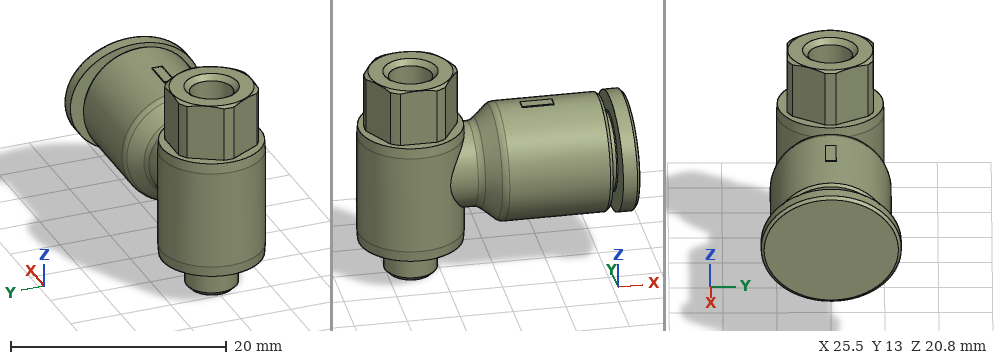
import cadquery as cq
import math


overall_length = 25.45

body_diameter = 10.0
body_top = 4.65
body_bottom = -7.1
body_end_length = 1.02
body_end_taper = 0.08

hex_top = 10.2
hex_across_flats = 8.0
hex_corner_diameter = 8.7
hex_crown_diameter = 7.9
hex_crown_height = 0.18

socket_diameter = 4.12
socket_mouth_diameter = 5.15
socket_depth = hex_top - body_top
bore_diameter = 2.0

stud_bottom = -10.59
stud_diameter = 5.0
stud_chamfer = 0.48
undercut_diameter = 4.5
undercut_length = 0.48

arm_neck_diameter = 8.0
arm_diameter = 11.22
cone_start = 5.98
cone_end = 7.91
cone_blend_radius = 1.0
arm_end = 18.1
arm_end_chamfer_length = 0.3
arm_end_chamfer_drop = 0.23

sleeve_diameter = 7.45
sleeve_flare = 0.1
collar_start = 18.83
collar_end = overall_length - body_diameter / 2
collar_width = 13.0
collar_height = 11.02
collar_chamfer = 0.28

mark_start = 10.45
mark_length = 3.0
mark_width = 1.0
mark_top = 5.7


def revolve_about_z(points):
    """Turn a closed (radius, z) outline about the vertical axis."""
    return cq.Workplane("XZ").polyline(points).close().revolve(360, (0, 0, 0), (0, 1, 0))


def make_body():
    radius = body_diameter / 2
    end_radius = radius - body_end_taper
    return revolve_about_z([
        (0, body_bottom),
        (end_radius, body_bottom),
        (radius, body_bottom + body_end_length),
        (radius, body_top - body_end_length),
        (end_radius, body_top),
        (0, body_top),
    ])


def make_hex_head():
    corner_radius = hex_corner_diameter / 2
    prism = (
        cq.Workplane("XY")
        .polygon(6, hex_across_flats / math.cos(math.radians(30)))
        .extrude(hex_top)
    )
    envelope = revolve_about_z([
        (0, 0),
        (corner_radius, 0),
        (corner_radius, hex_top - hex_crown_height),
        (hex_crown_diameter / 2, hex_top),
        (0, hex_top),
    ])
    return prism.intersect(envelope)


def make_stud():
    radius = stud_diameter / 2
    undercut_radius = undercut_diameter / 2
    shoulder = body_bottom - undercut_length
    return revolve_about_z([
        (0, body_bottom),
        (undercut_radius, body_bottom),
        (undercut_radius, shoulder),
        (radius, shoulder - (radius - undercut_radius)),
        (radius, stud_bottom + stud_chamfer),
        (radius - stud_chamfer, stud_bottom),
        (0, stud_bottom),
    ])


def make_bore():
    socket_radius = socket_diameter / 2
    mouth_radius = socket_mouth_diameter / 2
    bore_radius = bore_diameter / 2
    socket_floor = hex_top - socket_depth
    return revolve_about_z([
        (0, stud_bottom),
        (bore_radius, stud_bottom),
        (bore_radius, socket_floor),
        (socket_radius, socket_floor),
        (socket_radius, hex_top - (mouth_radius - socket_radius)),
        (mouth_radius, hex_top),
        (0, hex_top),
    ])


def make_arm():
    neck_radius = arm_neck_diameter / 2
    radius = arm_diameter / 2
    sleeve_radius = sleeve_diameter / 2
    turned = (
        cq.Workplane("XZ")
        .polyline([
            (0, 0),
            (0, neck_radius),
            (cone_start, neck_radius),
            (cone_end, radius),
            (arm_end - arm_end_chamfer_length, radius),
            (arm_end, radius - arm_end_chamfer_drop),
            (arm_end, sleeve_radius),
            (collar_start - sleeve_flare, sleeve_radius),
            (collar_start, sleeve_radius + sleeve_flare),
            (collar_start, 0),
        ])
        .close()
        .revolve(360, (0, 0, 0), (1, 0, 0))
    )
    margin = 0.25
    cone_edges = cq.selectors.BoxSelector(
        (cone_start - margin, -radius - margin, -radius - margin),
        (cone_end + margin, radius + margin, radius + margin),
    )
    return turned.edges(cone_edges).fillet(cone_blend_radius)


def make_collar():
    return (
        cq.Workplane("YZ", origin=(collar_start, 0, 0))
        .ellipse(collar_width / 2, collar_height / 2)
        .extrude(collar_end - collar_start)
        .faces(">X")
        .chamfer(collar_chamfer)
    )


def make_mark():
    return (
        cq.Workplane("XY", origin=(mark_start, 0, 0))
        .box(mark_length, mark_width, mark_top, centered=(False, True, False))
    )


result = (
    make_body()
    .union(make_hex_head())
    .union(make_stud())
    .union(make_arm())
    .union(make_collar())
    .union(make_mark())
    .cut(make_bore())
)